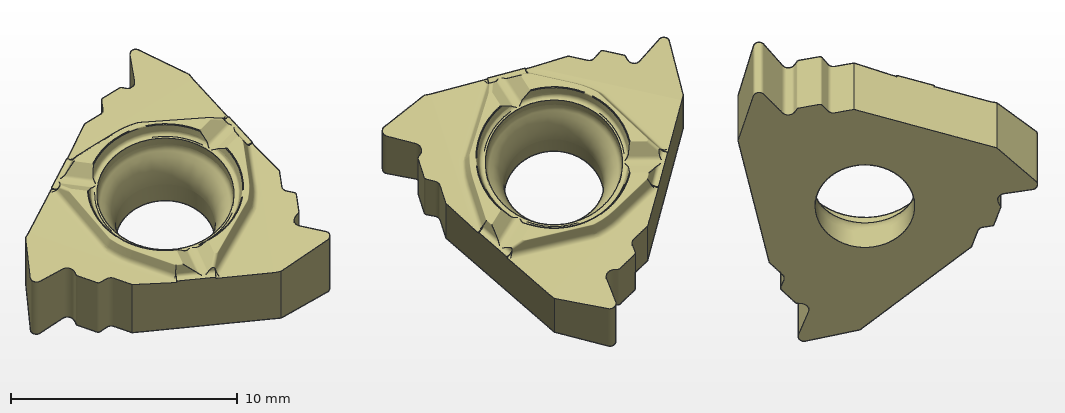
import cadquery as cq
import math


def tan_deg(angle):
    return math.tan(math.radians(angle))


CORNERS = 3
TURN = 360 / CORNERS

TOP_Z = 4.1
TOOTH_TIP_Z = 3.97
RIM_Z = 3.6

SIDE_ANGLE = 180
EDGE_ANGLE = 270
SIDE_DISTANCE = 4.76
OVERALL_LENGTH = 13.41
TOOTH_TIP_Y = -6.9
TOOTH_TIP_RADIUS = 0.27
UPPER_TIP_Y = OVERALL_LENGTH + TOOTH_TIP_Y
TIP_CENTRE_Y = TOOTH_TIP_Y + TOOTH_TIP_RADIUS
TOOTH_X = -(UPPER_TIP_Y - TOOTH_TIP_RADIUS + TIP_CENTRE_Y / 2) / math.sin(math.radians(TURN))
FLANK_ANGLE = 28
FLANK_START_Y = -4.57
ROOT_Y = -5.46
ROOT_END_X = -2.09
ROOT_RADIUS = 0.32
CREST_Y = -5.73
CREST_END_X = -0.76
CREST_RADIUS = 0.13
SHOULDER_Y = -5.15
SHOULDER_RADIUS = 0.3

RAKE_ANGLE = 10
RAKE_START_Y = -4.28
RAKE_BLEND = 0.34
FLOOR_Z = TOOTH_TIP_Z - (RAKE_START_Y - TOOTH_TIP_Y) * tan_deg(RAKE_ANGLE)
RAKE_OVERLAP = 0.67

BOSS_RADIUS = 3.71
BOSS_LONG_WALL = 3.61
BOSS_LONG_ANGLE = 238
BOSS_SIDE_WALL = 4.26
BOSS_DRAFT = 25
BOSS_FILLET = 0.34
BOSS_BEND_RADIUS = 0.67
TOP_EDGE_RADIUS = 0.04

LEDGE_START_Y = -1.68
LEDGE_END_Y = 0.07
LEDGE_FILLET = 0.2
LEDGE_WALL_Z = 3.75
LEDGE_OVERLAP = 0.13

NOTCH_ANGLE = 194
NOTCH_HALF_FLOOR = 0.15
NOTCH_WALL_ANGLE = 40
NOTCH_RADIUS = 0.34
RIDGE_RADIUS = 0.13
RIDGE_DEPTH = 0.1

BORE_RADIUS = 2.2
BORE_TOP_Z = 1.23
SEAT_RADIUS = 2.84
SEAT_TOP_Z = 2.83
SEAT_CURVE = 2.3
NECK_LOWER_RADIUS = 3.0
NECK_LOWER_Z = 3.14
NECK_CURVE = 0.58
NECK_UPPER_RADIUS = 3.03
RIM_OUTER_RADIUS = 3.12
RIM_CURVE = 0.23
MOUTH_LOWER_RADIUS = 3.31
MOUTH_LOWER_Z = 3.78
MOUTH_RADIUS = 3.42

REACH = 9.39
SELECT_MARGIN = 0.01


def rotate(point, angle):
    c = math.cos(math.radians(angle))
    s = math.sin(math.radians(angle))
    return (c * point[0] - s * point[1], s * point[0] + c * point[1])


def lines_meet(angle_a, distance_a, angle_b, distance_b):
    """Crossing of two lines, each given by its facing direction and distance from the axis."""
    a = math.radians(angle_a)
    b = math.radians(angle_b)
    det = math.sin(b - a)
    x = (distance_a * math.sin(b) - distance_b * math.sin(a)) / det
    y = (distance_b * math.cos(a) - distance_a * math.cos(b)) / det
    return (x, y)


def repeat_corners(solid):
    return [solid.rotate((0, 0, 0), (0, 0, 1), i * TURN) for i in range(CORNERS)]


def rounded_polygon(plane, corners):
    """Closed outline through (x, y, radius) corners, each rounded by a tangent arc."""
    outline = None
    for i, (x, y, radius) in enumerate(corners):
        corner = cq.Vector(x, y)
        before = (cq.Vector(*corners[i - 1][:2]) - corner).normalized()
        after = (cq.Vector(*corners[(i + 1) % len(corners)][:2]) - corner).normalized()
        half_angle = before.getAngle(after) / 2
        setback = radius / math.tan(half_angle)
        start = corner + before * setback
        if outline is None:
            outline = plane.moveTo(start.x, start.y)
        else:
            outline = outline.lineTo(start.x, start.y)
        if radius > 0:
            bisector = (before + after).normalized()
            middle = corner + bisector * (radius / math.sin(half_angle) - radius)
            end = corner + after * setback
            outline = outline.threePointArc((middle.x, middle.y), (end.x, end.y))
    return outline.close()


def outline_prism():
    """Full plan outline, with three toothed corners, raised to the top."""
    slope = tan_deg(FLANK_ANGLE)
    apex_y = TIP_CENTRE_Y - TOOTH_TIP_RADIUS / math.sin(math.radians(FLANK_ANGLE))
    root_start_x = TOOTH_X + (ROOT_Y - apex_y) * slope
    crest_start_x = ROOT_END_X + (ROOT_Y - CREST_Y)
    shoulder_x = CREST_END_X + (SHOULDER_Y - CREST_Y) * slope
    side_x, _ = lines_meet(EDGE_ANGLE, -SHOULDER_Y, SIDE_ANGLE + TURN, SIDE_DISTANCE)
    corner = [
        (-SIDE_DISTANCE, FLANK_START_Y, 0),
        (TOOTH_X, apex_y, TOOTH_TIP_RADIUS),
        (root_start_x, ROOT_Y, ROOT_RADIUS),
        (ROOT_END_X, ROOT_Y, ROOT_RADIUS),
        (crest_start_x, CREST_Y, CREST_RADIUS),
        (CREST_END_X, CREST_Y, CREST_RADIUS),
        (shoulder_x, SHOULDER_Y, SHOULDER_RADIUS),
        (side_x, SHOULDER_Y, 0),
    ]
    points = [(*rotate((x, y), i * TURN), r) for i in range(CORNERS) for x, y, r in corner]
    return rounded_polygon(cq.Workplane("XY"), points).extrude(TOP_Z)


def boss_on_floor():
    """Round floor plate carrying the drafted boss, with the foot of the boss filleted."""
    spread = (TOP_Z - FLOOR_Z) * tan_deg(BOSS_DRAFT)
    radius = BOSS_RADIUS + spread
    long_wall = BOSS_LONG_WALL + spread
    side_wall = BOSS_SIDE_WALL + spread
    arc_start = BOSS_LONG_ANGLE + math.degrees(math.acos(long_wall / radius))
    arc_middle = (arc_start + EDGE_ANGLE) / 2
    foot = cq.Workplane("XY").workplane(offset=FLOOR_Z)
    foot = foot.moveTo(*lines_meet(SIDE_ANGLE, side_wall, BOSS_LONG_ANGLE, long_wall))
    for i in range(CORNERS):
        turn = i * TURN
        straight_angle = EDGE_ANGLE + turn
        side_angle = SIDE_ANGLE + turn + TURN
        foot = foot.lineTo(*rotate((radius, 0), arc_start + turn))
        foot = foot.threePointArc(
            rotate((radius, 0), arc_middle + turn),
            rotate((radius, 0), straight_angle),
        )
        foot = foot.lineTo(*lines_meet(straight_angle, radius, side_angle, side_wall))
        if i < CORNERS - 1:
            next_wall_angle = BOSS_LONG_ANGLE + turn + TURN
            foot = foot.lineTo(*lines_meet(side_angle, side_wall, next_wall_angle, long_wall))
    boss = foot.close().extrude(TOP_Z - FLOOR_Z, taper=BOSS_DRAFT)
    for i in range(CORNERS):
        bend = rotate((radius - spread / 2, 0), arc_start + i * TURN)
        bend_edge = cq.selectors.NearestToPointSelector((*bend, (FLOOR_Z + TOP_Z) / 2))
        boss = boss.edges(bend_edge).fillet(BOSS_BEND_RADIUS)
    plate = cq.Workplane("XY").circle(REACH).extrude(FLOOR_Z)
    foot_limit = (REACH + BOSS_SIDE_WALL) / 2
    foot_edges = cq.selectors.BoxSelector(
        (-foot_limit, -foot_limit, FLOOR_Z - SELECT_MARGIN),
        (foot_limit, foot_limit, FLOOR_Z + SELECT_MARGIN),
        boundingbox=True,
    )
    return plate.union(boss).edges(foot_edges).fillet(BOSS_FILLET)


def rake_wedge():
    """Floor edge and the rake face rising from it, as a long prism along X."""
    rise = (REACH + RAKE_START_Y) * tan_deg(RAKE_ANGLE)
    profile = [
        (RAKE_START_Y + RAKE_OVERLAP, 0, 0),
        (RAKE_START_Y + RAKE_OVERLAP, FLOOR_Z, 0),
        (RAKE_START_Y, FLOOR_Z, RAKE_BLEND),
        (-REACH, FLOOR_Z + rise, 0),
        (-REACH, 0, 0),
    ]
    return rounded_polygon(cq.Workplane("YZ"), profile).extrude(REACH, both=True)


def side_ledge():
    """Ledge strip with a concave fillet running up the short wall of the boss."""
    wall_foot_x = -BOSS_SIDE_WALL - (TOP_Z - RIM_Z) * tan_deg(BOSS_DRAFT)
    wall_top_x = -BOSS_SIDE_WALL - (TOP_Z - LEDGE_WALL_Z) * tan_deg(BOSS_DRAFT)
    inner_x = wall_top_x + LEDGE_OVERLAP
    profile = [
        (-SIDE_DISTANCE, 0, 0),
        (-SIDE_DISTANCE, RIM_Z, 0),
        (wall_foot_x, RIM_Z, LEDGE_FILLET),
        (wall_top_x, LEDGE_WALL_Z, 0),
        (inner_x, LEDGE_WALL_Z, 0),
        (inner_x, 0, 0),
    ]
    plane = cq.Workplane("XZ", origin=(0, LEDGE_END_Y, 0))
    return rounded_polygon(plane, profile).extrude(LEDGE_END_Y - LEDGE_START_Y)


def notch():
    """Radial cutter for one V-shaped notch, running outwards from the axis."""
    depth = TOP_Z - RIM_Z
    half_top = NOTCH_HALF_FLOOR + depth / tan_deg(NOTCH_WALL_ANGLE)
    profile = [
        (-half_top, TOP_Z, 0),
        (-NOTCH_HALF_FLOOR, RIM_Z, NOTCH_RADIUS),
        (NOTCH_HALF_FLOOR, RIM_Z, NOTCH_RADIUS),
        (half_top, TOP_Z, 0),
    ]
    cutter = rounded_polygon(cq.Workplane("YZ"), profile).extrude(REACH)
    return cutter.rotate((0, 0, 0), (0, 0, 1), NOTCH_ANGLE)


def notch_ridge_point():
    """Middle of the ridge between a notch wall and the long wall of the boss, in plan."""
    half_top = NOTCH_HALF_FLOOR + (TOP_Z - RIM_Z) / tan_deg(NOTCH_WALL_ANGLE)
    notch_wall = half_top - RIDGE_DEPTH / tan_deg(NOTCH_WALL_ANGLE)
    long_wall = BOSS_LONG_WALL + RIDGE_DEPTH * tan_deg(BOSS_DRAFT)
    return lines_meet(NOTCH_ANGLE + 90, notch_wall, BOSS_LONG_ANGLE, long_wall)


def bore():
    """Stepped and curved screw hole as one turned cutter."""
    return (
        cq.Workplane("XZ")
        .moveTo(0, 0)
        .lineTo(BORE_RADIUS, 0)
        .lineTo(BORE_RADIUS, BORE_TOP_Z)
        .radiusArc((SEAT_RADIUS, SEAT_TOP_Z), SEAT_CURVE)
        .radiusArc((NECK_LOWER_RADIUS, NECK_LOWER_Z), -NECK_CURVE)
        .lineTo(NECK_UPPER_RADIUS, RIM_Z)
        .lineTo(RIM_OUTER_RADIUS, RIM_Z)
        .radiusArc((MOUTH_LOWER_RADIUS, MOUTH_LOWER_Z), -RIM_CURVE)
        .lineTo(MOUTH_RADIUS, TOP_Z)
        .lineTo(0, TOP_Z)
        .close()
        .revolve(360, (0, 0, 0), (0, 1, 0))
    )


prism = outline_prism()
body = boss_on_floor()
for wedge in repeat_corners(rake_wedge().intersect(prism)):
    body = body.union(wedge)
for ledge in repeat_corners(side_ledge()):
    body = body.union(ledge)
body = body.intersect(prism)
for cutter in repeat_corners(notch()):
    body = body.cut(cutter)
body = body.cut(bore())
for i in range(CORNERS):
    ridge = rotate(notch_ridge_point(), i * TURN)
    ridge_edge = cq.selectors.NearestToPointSelector((*ridge, TOP_Z - RIDGE_DEPTH))
    body = body.edges(ridge_edge).fillet(RIDGE_RADIUS)
result = body.faces(">Z").edges().fillet(TOP_EDGE_RADIUS)